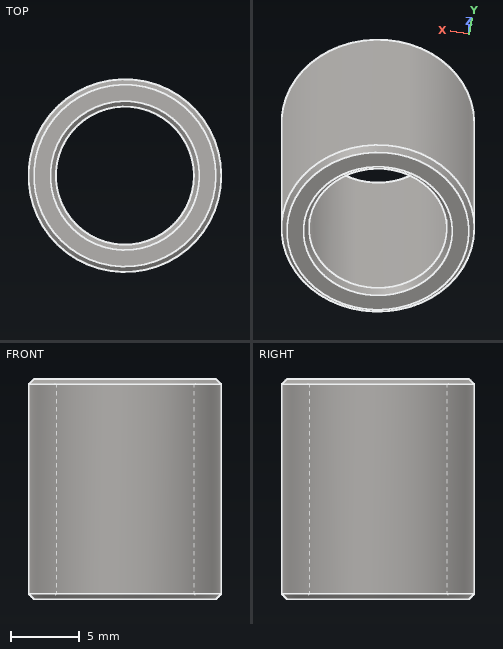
import cadquery as cq

length = 16.0
outer_diameter = 14.0
bore_diameter = 10.0
chamfer_size = 0.4

sleeve = (
    cq.Workplane("XY")
    .circle(outer_diameter / 2)
    .circle(bore_diameter / 2)
    .extrude(length)
)

result = sleeve.faces("<Z or >Z").edges().chamfer(chamfer_size)